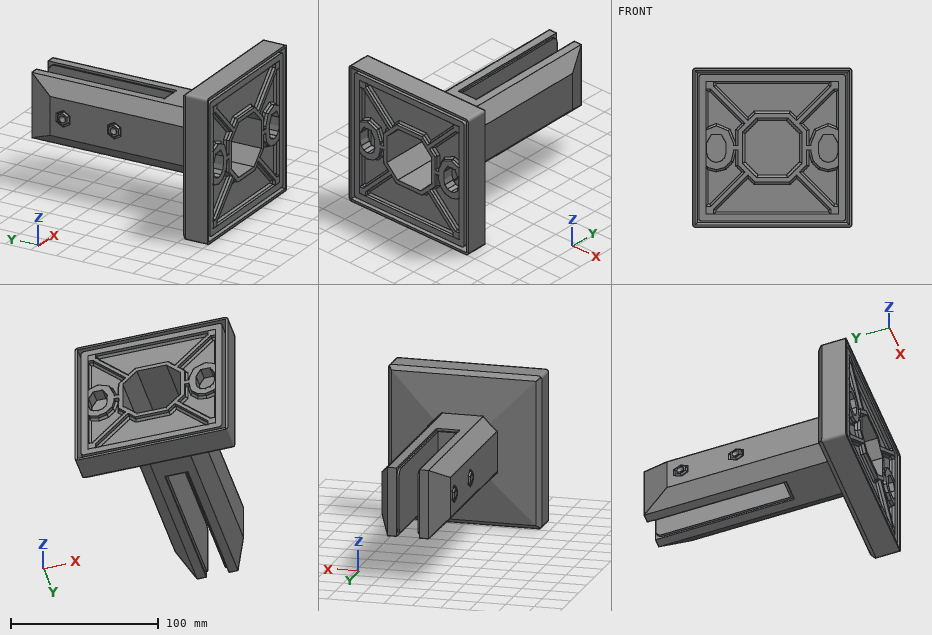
import cadquery as cq
import math


COVER_SIDE = 108.0
COVER_RIM_HEIGHT = 17.1
COVER_WALL = 1.8
COVER_CORNER_RADIUS = 2.4
COVER_CHAMFER_INSET = 3.0
COVER_CHAMFER_HEIGHT = 3.4
COVER_INNER_CHAMFER_INSET = 1.5
COVER_SLOPE = 0.15
COVER_CLEARANCE = 0.5

POST_LENGTH = 160
POST_HALF = 24.2
POST_CORNER_CUT = 9.8
POST_TAPER_LENGTH = 20.0
SLOT_WIDTH = 16
SLOT_FLOOR = 59.8
BORE_HALF = 20.3
BORE_CORNER_CUT = 10.0
BORE_DEPTH = 48
BORE_END_CHAMFER = 2.0

FRAME_HALF = 49.8
FRAME_CORNER_RADIUS = 2.4

PLATE_HALF = 45.0
PLATE_FRONT = 0.5
PLATE_BACK = 9.0
POCKET_FLOOR = 4.2
ROOT = 1.5
RING_WALL = 3.0
RIB_WIDTH = 2.9
CORNER_PAD_SIDE = 5.3
WEB_WIDTH = 3.4
BOLT_X = 38.0
BOLT_SLOT_SHIFT = 3.4
BOLT_SLOT_RADIUS = 6.5
BOSS_RADIUS = 11.5
BOLT_TOP_FACETS = 3
BOSS_TOP_FACETS = 4
BOLT_BOTTOM_FACETS = 6

GASKET_SIDE = 1.5
GASKET_FLOOR = 2.0
GASKET_END = 159.0
GASKET_Z_INSET = 1.6
GASKET_CORNER_RADIUS = 1.5
GASKET_TIP_RADIUS = 4.8

SCREW_Y = (90.0, 130.0)
SCREW_PROUD = 1.0
SCREW_FACE_FLATS = 7.5
SCREW_ROOT_FLATS = 8.8
SCREW_RECESS_FLATS = 10.7
SCREW_RECESS_DEPTH = 1.0
SCREW_SHANK_RADIUS = 3.2
SCREW_SOCKET_RADIUS = 2.5
SCREW_SOCKET_DEPTH = 2.5
SCREW_RECESS_X = -POST_HALF + SCREW_RECESS_DEPTH


def facing_plane(y):
    """Workplane across the post at height y; extrusions run toward the mounting face."""
    return cq.Workplane("XZ", origin=(0, y, 0))


def octagon_points(half, cut):
    flat = half - cut
    return [
        (half, -flat), (half, flat), (flat, half), (-flat, half),
        (-half, flat), (-half, -flat), (-flat, -half), (flat, -half),
    ]


def octagon_prism(half, cut, start, end):
    return facing_plane(end).polyline(octagon_points(half, cut)).close().extrude(end - start)


def offset_cut(cut, distance):
    """Corner cut of an octagon whose eight sides have all moved outward by distance."""
    return cut + distance * (2 - math.sqrt(2))


def square_slab(half, start, end):
    return facing_plane(end).rect(2 * half, 2 * half).extrude(end - start)


def square_frustum(half_start, half_end, start, end):
    return (
        facing_plane(start).rect(2 * half_start, 2 * half_start)
        .workplane(offset=start - end).rect(2 * half_end, 2 * half_end)
        .loft(ruled=True)
    )


def pyramid(shoulder_half, shoulder_y):
    top_half = POST_HALF - POST_CORNER_CUT
    top_y = shoulder_y + COVER_SLOPE * (shoulder_half - top_half)
    return square_frustum(shoulder_half, top_half, shoulder_y, top_y)


def make_cover():
    half = COVER_SIDE / 2
    shoulder_half = half - COVER_CHAMFER_INSET
    shoulder_y = COVER_RIM_HEIGHT + COVER_CHAMFER_HEIGHT
    walls = square_slab(half, 0, shoulder_y).edges("|Y").fillet(COVER_CORNER_RADIUS)
    chamfered = square_frustum(half, shoulder_half, COVER_RIM_HEIGHT, shoulder_y)
    envelope = square_slab(half, 0, COVER_RIM_HEIGHT).union(chamfered)
    outside = walls.intersect(envelope).union(pyramid(shoulder_half, shoulder_y))

    inner_half = half - COVER_WALL
    inner_rim = COVER_RIM_HEIGHT - COVER_WALL / 2
    inner_shoulder_half = inner_half - COVER_INNER_CHAMFER_INSET
    inner_shoulder_y = shoulder_y - COVER_WALL
    cavity = (
        square_slab(inner_half, 0, inner_rim)
        .union(square_frustum(inner_half, inner_shoulder_half, inner_rim, inner_shoulder_y))
        .union(pyramid(inner_shoulder_half, inner_shoulder_y))
    )
    opening = octagon_prism(
        POST_HALF + COVER_CLEARANCE, offset_cut(POST_CORNER_CUT, COVER_CLEARANCE), 0, POST_LENGTH
    )
    return outside.cut(cavity).cut(opening)


def make_frame():
    return (
        square_slab(FRAME_HALF, PLATE_FRONT, PLATE_BACK)
        .edges("|Y").fillet(FRAME_CORNER_RADIUS)
        .cut(square_slab(PLATE_HALF, PLATE_FRONT, PLATE_BACK))
    )


def raised(outline):
    """Rib of the given outline standing in the plate pocket, with a chamfered root."""
    upright = outline().extrude(POCKET_FLOOR - PLATE_FRONT)
    root = outline().offset2D(ROOT, "intersection").extrude(ROOT, taper=45)
    return upright.union(root)


def arc_points(x, z, radius, start, segments):
    """Corners of a half circle made of flat facets, counter-clockwise from the start angle."""
    angles = [start + math.pi * i / segments for i in range(segments + 1)]
    return [(x + radius * math.cos(a), z + radius * math.sin(a)) for a in angles]


def bolt_outline(x, radius, top_facets):
    """Upright slot outline with faceted ends."""
    top = arc_points(x, BOLT_SLOT_SHIFT, radius, 0, top_facets)
    bottom = arc_points(x, -BOLT_SLOT_SHIFT, radius, math.pi, BOLT_BOTTOM_FACETS)
    return facing_plane(POCKET_FLOOR).polyline(top + bottom).close()


def make_plate():
    plate = square_slab(PLATE_HALF, PLATE_FRONT, PLATE_BACK)
    root_top = POCKET_FLOOR - ROOT
    pocket = square_frustum(PLATE_HALF - ROOT, PLATE_HALF, POCKET_FLOOR, root_top).union(
        square_slab(PLATE_HALF, PLATE_FRONT, root_top)
    )
    ring_half = BORE_HALF + RING_WALL
    ring_points = octagon_points(ring_half, offset_cut(BORE_CORNER_CUT, RING_WALL))
    rib_length = 2 * math.sqrt(2) * PLATE_HALF
    pad_place = PLATE_HALF - CORNER_PAD_SIDE / 2
    floor = facing_plane(POCKET_FLOOR)

    ribs = raised(lambda: floor.polyline(ring_points).close())
    for angle in (45, 135):
        ribs = ribs.union(
            raised(lambda: floor.rect(rib_length, RIB_WIDTH)).rotate((0, 0, 0), (0, 1, 0), angle)
        )
    for side_x in (-1, 1):
        for side_z in (-1, 1):
            ribs = ribs.union(raised(
                lambda: floor.center(side_x * pad_place, side_z * pad_place)
                .rect(CORNER_PAD_SIDE, CORNER_PAD_SIDE)
            ))
        ribs = ribs.union(raised(lambda: bolt_outline(side_x * BOLT_X, BOSS_RADIUS, BOSS_TOP_FACETS)))
        web = floor.center(side_x * (ring_half + BOLT_X) / 2, 0).rect(BOLT_X - ring_half, WEB_WIDTH)
        ribs = ribs.union(web.extrude(POCKET_FLOOR - PLATE_FRONT))

    plate = plate.cut(pocket).union(ribs.intersect(pocket))
    for side_x in (-1, 1):
        bolt_slot = bolt_outline(side_x * BOLT_X, BOLT_SLOT_RADIUS, BOLT_TOP_FACETS)
        plate = plate.cut(bolt_slot.extrude(PLATE_BACK, both=True))
    return plate


def make_bore():
    end_half = BORE_HALF - BORE_END_CHAMFER
    end_cut = offset_cut(BORE_CORNER_CUT, -BORE_END_CHAMFER)
    chamfer_start = BORE_DEPTH - BORE_END_CHAMFER
    chamfered_end = (
        facing_plane(chamfer_start).polyline(octagon_points(BORE_HALF, BORE_CORNER_CUT)).close()
        .workplane(offset=-BORE_END_CHAMFER).polyline(octagon_points(end_half, end_cut)).close()
        .loft(ruled=True)
    )
    return octagon_prism(BORE_HALF, BORE_CORNER_CUT, 0, chamfer_start).union(chamfered_end)


def make_post():
    column = octagon_prism(POST_HALF, POST_CORNER_CUT, PLATE_BACK, POST_LENGTH)
    tip_half = POST_HALF - POST_CORNER_CUT
    taper_start = POST_LENGTH - POST_TAPER_LENGTH
    tapered_outline = (
        cq.Workplane("XY")
        .polyline([
            (-POST_HALF, 0), (POST_HALF, 0), (POST_HALF, taper_start),
            (tip_half, POST_LENGTH), (-tip_half, POST_LENGTH), (-POST_HALF, taper_start),
        ])
        .close().extrude(POST_HALF, both=True)
    )
    slot = (
        cq.Workplane("XY").center(0, (SLOT_FLOOR + POST_LENGTH) / 2)
        .rect(SLOT_WIDTH, POST_LENGTH - SLOT_FLOOR).extrude(POST_HALF, both=True)
    )
    post = column.intersect(tapered_outline).cut(slot).union(make_plate()).cut(make_bore())
    for y in SCREW_Y:
        post = post.cut(screw_recess(y))
    return post


def make_gasket():
    half_z = POST_HALF - GASKET_Z_INSET
    length = GASKET_END - SLOT_FLOOR
    block = (
        cq.Workplane("XY").center(0, SLOT_FLOOR + length / 2).rect(SLOT_WIDTH, length)
        .extrude(half_z, both=True)
        .edges("|Z and <Y").fillet(GASKET_CORNER_RADIUS)
        .edges("|X and >Y").fillet(GASKET_TIP_RADIUS)
    )
    opening = (
        cq.Workplane("XY").center(0, SLOT_FLOOR + GASKET_FLOOR + length / 2)
        .rect(SLOT_WIDTH - 2 * GASKET_SIDE, length).extrude(half_z, both=True)
    )
    return block.cut(opening)


def hexagon_frustum(y, x_start, flats_start, x_end, flats_end):
    to_diameter = 2 / math.sqrt(3)
    return (
        cq.Workplane("YZ", origin=(x_start, y, 0))
        .transformed(rotate=(0, 0, 90)).polygon(6, flats_start * to_diameter)
        .workplane(offset=x_end - x_start).polygon(6, flats_end * to_diameter)
        .loft(ruled=True)
    )


def screw_shank(y):
    """Plain shank from the head recess to the wall of the slot."""
    length = -SLOT_WIDTH / 2 - SCREW_RECESS_X
    return cq.Workplane("YZ", origin=(SCREW_RECESS_X, y, 0)).circle(SCREW_SHANK_RADIUS).extrude(length)


def screw_recess(y):
    recess = hexagon_frustum(y, SCREW_RECESS_X, SCREW_ROOT_FLATS, -POST_HALF, SCREW_RECESS_FLATS)
    return recess.union(screw_shank(y))


def make_screw(y):
    face_x = -POST_HALF - SCREW_PROUD
    head = hexagon_frustum(y, SCREW_RECESS_X, SCREW_ROOT_FLATS, face_x, SCREW_FACE_FLATS)
    socket = cq.Solid.makeCone(
        SCREW_SOCKET_RADIUS, 0, SCREW_SOCKET_DEPTH, pnt=(face_x, y, 0), dir=(1, 0, 0)
    )
    return head.union(screw_shank(y)).cut(cq.Workplane(socket))


cover = make_cover()
post = make_post()
frame = make_frame()
gasket = make_gasket()
screws = [make_screw(y) for y in SCREW_Y]

result = cq.Compound.makeCompound(
    [cover.val(), post.val(), frame.val(), gasket.val(), *[screw.val() for screw in screws]]
)